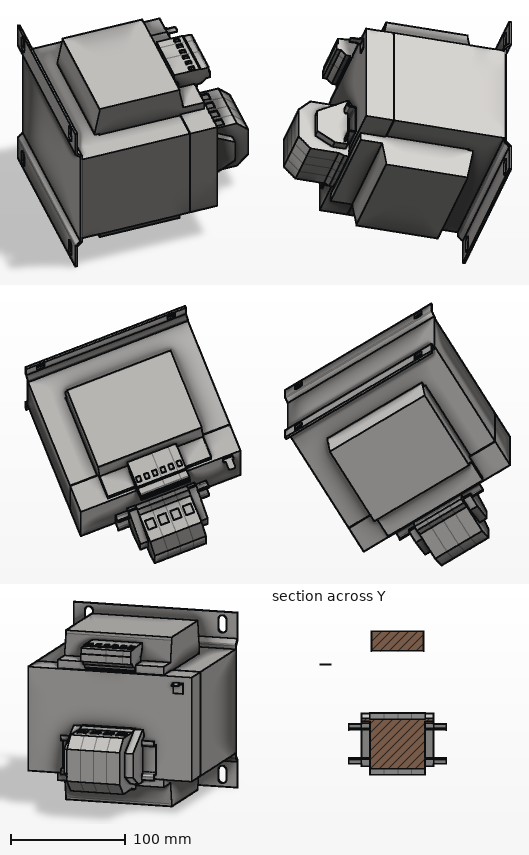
import cadquery as cq
import math


width = 150.0
core_height = 92.9
core_front = 6.6
core_back = 131.6
yoke_joint = 106.5
joint_gap = 0.5
window_front = 31.5
window_width = 99.7

plate_thickness = 2.0
plate_height = 156.1
flange_inner_z = 55.0
bend_angle = 45.0
slot_spacing_x = 122.5
slot_center_z = 67.2
slot_length = 15.5
slot_width = 7.5

coil_width = 97.2
coil_half_height = 75.5
coil_front = 32.0
coil_back = 106.0
coil_overhang = 4.5
coil_lip = 2.5
bobbin_half_height = 53.8
bobbin_back = 129.1

upper_width = 45.7
upper_module_poles = (1, 2, 3)
pole_count = sum(upper_module_poles)
pole_pitch = upper_width / pole_count
upper_top = 69.7
upper_hole_y = 127.7
upper_hole_width = 3.8
upper_hole_length = 4.8

tab_center_x = -62.9
tab_top = 40.9
tab_thickness = 0.7
tab_plate_width = 9.0
tab_plate_bottom = 31.5
tab_shoulder_back = 135.0
tab_blade_width = 6.3
tab_blade_back = 143.0
tab_tip_chamfer = 0.9

rail_center_z = -28.8
rail_length = 85.4
rail_height = 35.0
rail_channel_height = 27.0
rail_depth = 7.5
rail_thickness = 1.0
rail_bend_radius = 0.9
main_module_count = 4
main_row_width = 48.2
main_module_width = main_row_width / main_module_count
main_back = 178.6
main_front = core_back + rail_thickness
main_half_height = 25.0
main_foot_half_height = 27.0
main_foot_back = 137.3
main_foot_slope_back = 142.2
main_foot_undercut = 6.3
main_foot_lift = 0.5
main_corner = 10.7
main_hole_y = 152.9
main_hole_pitch = 11.8
main_hole_width = 7.5
main_hole_length = 8.5
end_plate_width = 7.5

hole_depth = 1.3


def box(x_range, y_range, z_range):
    """Box spanning the given (low, high) ranges."""
    spans = (x_range, y_range, z_range)
    sizes = [high - low for low, high in spans]
    corner = tuple(low for low, high in spans)
    return cq.Workplane("XY").box(*sizes, centered=False).translate(corner)


def extrude_x(yz_points, x_start, x_length):
    """Extrude a closed Y-Z outline along X."""
    outline = cq.Workplane("YZ", origin=(x_start, 0, 0)).polyline(yz_points).close()
    return outline.extrude(x_length)


def mounting_flange():
    """Upper flange, joggled forward through two 45 degree bends with sharp insides."""
    t = plate_thickness
    diagonal = t * math.sin(math.radians(bend_angle))
    half_bend = math.radians(bend_angle / 2)
    mid_bend = (t * math.cos(half_bend), t * math.sin(half_bend))
    flange_pivot = (t, flange_inner_z)
    web_pivot_y = core_front - t
    web_outer_y = web_pivot_y + diagonal
    web_outer_z = flange_inner_z - (web_outer_y - t)
    web_pivot = (web_pivot_y, web_outer_z - diagonal)
    profile = (
        cq.Workplane("YZ", origin=(-width / 2, 0, 0))
        .moveTo(0, plate_height / 2)
        .lineTo(0, flange_inner_z)
        .threePointArc(
            (flange_pivot[0] - mid_bend[0], flange_pivot[1] - mid_bend[1]),
            (flange_pivot[0] - diagonal, flange_pivot[1] - diagonal),
        )
        .lineTo(*web_pivot)
        .lineTo(web_pivot_y, 0)
        .lineTo(core_front, 0)
        .lineTo(core_front, web_pivot[1])
        .threePointArc(
            (web_pivot[0] + mid_bend[0], web_pivot[1] + mid_bend[1]),
            (web_outer_y, web_outer_z),
        )
        .lineTo(*flange_pivot)
        .lineTo(t, plate_height / 2)
        .close()
    )
    slots = (
        cq.Workplane("XZ")
        .pushPoints([(side * slot_spacing_x / 2, slot_center_z) for side in (-1, 1)])
        .slot2D(slot_length, slot_width, 90)
        .extrude(-plate_thickness)
    )
    return profile.extrude(width).cut(slots)


def core():
    """Core block with its winding window and the air gap in front of the rear yoke."""
    x_range = (-width / 2, width / 2)
    z_range = (-core_height / 2, core_height / 2)
    gap_back = yoke_joint + joint_gap / 2
    block = box(x_range, (core_front, core_back), z_range)
    window = box((-window_width / 2, window_width / 2), (window_front, gap_back), z_range)
    gap = box(x_range, (gap_back - joint_gap, gap_back), z_range)
    return block.cut(window).cut(gap)


def upper_coil():
    """Upper half of the coil, tapering between two upright lips, with the bobbin shelf."""
    core_top = core_height / 2
    x_range = (-coil_width / 2, coil_width / 2)
    tapered = extrude_x(
        [
            (coil_front - coil_overhang, core_top),
            (coil_front - coil_overhang, core_top + coil_lip),
            (coil_front, coil_half_height - coil_lip),
            (coil_front, coil_half_height),
            (coil_back, coil_half_height),
            (coil_back, coil_half_height - coil_lip),
            (coil_back + coil_overhang, core_top + coil_lip),
            (coil_back + coil_overhang, core_top),
        ],
        -coil_width / 2,
        coil_width,
    )
    shelf = box(x_range, (yoke_joint, bobbin_back), (core_top, bobbin_half_height))
    inside = box(x_range, (window_front, yoke_joint + joint_gap / 2), (0, core_top))
    return tapered.union(shelf).union(inside)


def terminal_holes(x_centers, y_center, x_size, y_size, top):
    """Rectangular wire openings sunk into a terminal's top face."""
    return (
        cq.Workplane("XY", origin=(0, y_center, top))
        .pushPoints([(x, 0) for x in x_centers])
        .rect(x_size, y_size)
        .extrude(-hole_depth)
    )


def upper_terminals():
    """Terminal strip standing on the bobbin shelf, in modules of 1, 2 and 3 poles."""
    front = 110.2
    stem_front = 114.3
    back_edge = 142.5
    ledge_back = 143.6
    ledge_bottom = 57.0
    hook_front = 131.5
    profile = [
        (front, upper_top),
        (134.0, upper_top),
        (135.2, 69.0),
        (140.5, 69.0),
        (back_edge, 68.5),
        (back_edge, 63.5),
        (ledge_back, 63.5),
        (ledge_back, ledge_bottom),
        (140.0, ledge_bottom),
        (135.4, 52.5),
        (hook_front, 52.2),
        (hook_front, 49.3),
        (bobbin_back, 47.5),
        (bobbin_back, bobbin_half_height),
        (stem_front, bobbin_half_height),
        (stem_front, 58.0),
        (front, 64.5),
    ]
    strip_start = -upper_width / 2
    strip = cq.Workplane()
    module_start = strip_start
    for poles in upper_module_poles:
        module = extrude_x(profile, module_start, poles * pole_pitch)
        strip = strip.add(module)
        module_start += poles * pole_pitch
    strip = strip.combine(clean=False)
    x_centers = [strip_start + (i + 0.5) * pole_pitch for i in range(pole_count)]
    holes = terminal_holes(
        x_centers, upper_hole_y, upper_hole_width, upper_hole_length, upper_top
    )
    return strip.cut(holes, clean=False)


def earth_tab():
    """Angle bracket on the core's back with a chamfered push-on blade."""
    plate_x = (tab_center_x - tab_plate_width / 2, tab_center_x + tab_plate_width / 2)
    blade_x = (tab_center_x - tab_blade_width / 2, tab_center_x + tab_blade_width / 2)
    tab_z = (tab_top - tab_thickness, tab_top)
    plate = box(plate_x, (core_back, core_back + tab_thickness), (tab_plate_bottom, tab_top))
    shoulder = box(plate_x, (core_back, tab_shoulder_back), tab_z)
    blade = box(blade_x, (core_back, tab_blade_back), tab_z)
    blade = blade.faces(">Y").edges("|Z").chamfer(tab_tip_chamfer)
    return plate.union(shoulder).union(blade)


def rail():
    """Top-hat mounting rail with its channel against the core and its lips behind."""
    t = rail_thickness
    lip = rail_height / 2
    channel = rail_channel_height / 2
    rail_back = core_back + rail_depth
    half_outline = [
        (core_back, channel),
        (rail_back - t, channel),
        (rail_back - t, lip),
        (rail_back, lip),
        (rail_back, channel - t),
        (core_back + t, channel - t),
    ]
    mirrored = [(y, -z) for y, z in reversed(half_outline)]
    outline = [(y, rail_center_z + z) for y, z in half_outline + mirrored]
    section = extrude_x(outline, -rail_length / 2, rail_length)
    for side in (-1, 1):
        leg_outer_z = rail_center_z + side * channel
        leg_inner_z = rail_center_z + side * (channel - t)
        bends = (
            (core_back, leg_outer_z, rail_bend_radius + t),
            (core_back + t, leg_inner_z, rail_bend_radius),
            (rail_back - t, leg_outer_z, rail_bend_radius),
            (rail_back, leg_inner_z, rail_bend_radius + t),
        )
        for y, z, radius in bends:
            corner = cq.selectors.NearestToPointSelector((0, y, z))
            section = section.edges("|X").edges(corner).fillet(radius)
    return section


def main_terminals():
    """Row of identical terminal modules clipped over the rail."""
    half_outline = [
        (main_front, main_foot_half_height - main_foot_undercut),
        (main_front + main_foot_lift, main_foot_half_height),
        (main_foot_back, main_foot_half_height),
        (main_foot_slope_back, main_half_height),
        (main_back - main_corner, main_half_height),
        (main_back, main_half_height - main_corner),
    ]
    mirrored = [(y, -z) for y, z in reversed(half_outline)]
    outline = [(y, rail_center_z + z) for y, z in half_outline + mirrored]
    row_start = -main_row_width / 2
    row = cq.Workplane()
    for i in range(main_module_count):
        row = row.add(extrude_x(outline, row_start + i * main_module_width, main_module_width))
    row = row.combine(clean=False)
    middle = (main_module_count - 1) / 2
    x_centers = [(i - middle) * main_hole_pitch for i in range(main_module_count)]
    holes = terminal_holes(
        x_centers, main_hole_y, main_hole_width, main_hole_length,
        rail_center_z + main_half_height,
    )
    return row.cut(holes, clean=False)


def end_plates():
    """Tapered end stops on both sides of the main terminals."""
    top = -2.1
    tip_back = 163.6
    bottom = -48.4
    rest_front = 136.1
    outline = [
        (136.3, top),
        (tip_back, -18.0),
        (tip_back, -39.5),
        (147.9, bottom),
        (rest_front, bottom),
        (rest_front, -10.9),
        (core_back, -8.4),
        (core_back, -7.7),
        (135.2, top),
    ]
    right = extrude_x(outline, main_row_width / 2, end_plate_width)
    return right.union(right.mirror("YZ"))


flange = mounting_flange()
plate = flange.union(flange.mirror("XY"))
half_coil = upper_coil()
coil = half_coil.union(half_coil.mirror("XY"))

result = core()
for part in (plate, coil, earth_tab(), rail(), end_plates(), main_terminals(), upper_terminals()):
    result = result.union(part, clean=False)